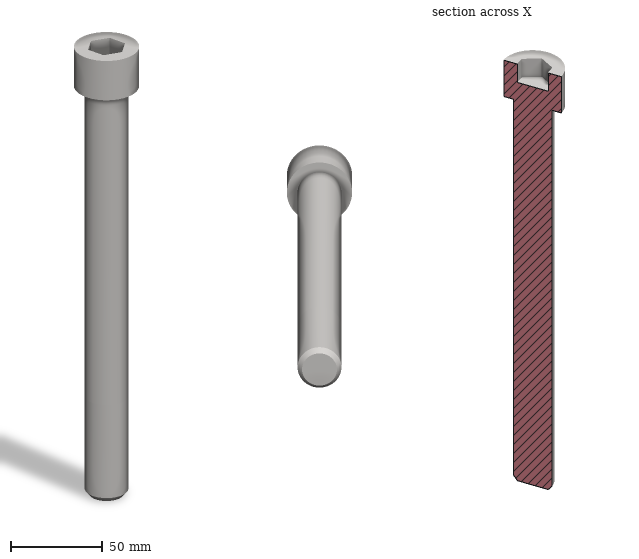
import cadquery as cq
import math

total_length = 274.0
head_diameter = 36.0
shank_diameter = 24.0
head_height = shank_diameter
thread_length = 60.0
tip_chamfer_height = 3.0
tip_chamfer_width = 2.5
socket_across_flats = 19.0
socket_depth = head_height / 2

shank_length = total_length - head_height
plain_length = shank_length - thread_length
socket_across_corners = socket_across_flats / math.cos(math.pi / 6)


def make_head():
    """Cylindrical head standing on the Z = 0 bearing face."""
    return cq.Workplane("XY").circle(head_diameter / 2).extrude(head_height)


def make_shank():
    """Plain shank and smooth thread section, with a chamfered tip."""
    plain = cq.Workplane("XY").circle(shank_diameter / 2).extrude(-plain_length)
    thread = (
        cq.Workplane("XY", origin=(0, 0, -plain_length))
        .circle(shank_diameter / 2)
        .extrude(-thread_length)
        .faces("<Z")
        .chamfer(tip_chamfer_height, tip_chamfer_width)
    )
    return plain.union(thread, clean=False)


def make_socket():
    """Hexagonal key socket with two corners on the X axis."""
    return (
        cq.Workplane("XY", origin=(0, 0, head_height))
        .polygon(6, socket_across_corners)
        .extrude(-socket_depth)
    )


result = make_head().union(make_shank(), clean=False).cut(make_socket(), clean=False)